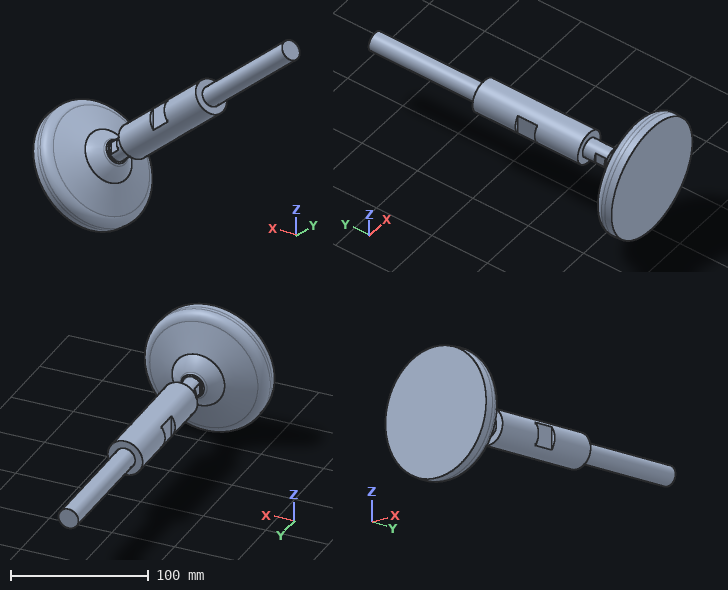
import cadquery as cq

TOTAL_LENGTH = 250.0

FOOT_RADIUS = 50.0
BASE_RADIUS = 49.5
RIM_START = 6.0
RIM_END = 9.0
SHOULDER_RADIUS = 43.2
SHOULDER_HEIGHT = 16.0
SHOULDER_MID_RADIUS = 48.2
SHOULDER_MID_HEIGHT = 13.0
DOME_RADIUS = 21.0
DOME_HEIGHT = 25.0
DOME_MID_RADIUS = 16.5
DOME_MID_HEIGHT = 30.0
DOME_END_RADIUS = 10.8
DOME_END_HEIGHT = 33.8
CROWN_RADIUS = 9.2
CROWN_HEIGHT = 35.0

ROD_RADIUS = 8.0
TIP_RADIUS = 7.0
TAPER_START = 35.5
ROD_FLAT_START = 37.0
ROD_FLAT_LENGTH = 9.0
ROD_ACROSS_FLATS = 13.0

SLEEVE_RADIUS = 14.0
SLEEVE_START = 56.8
SLEEVE_LENGTH = 95.0
SLEEVE_FLAT_LENGTH = 17.5
SLEEVE_FLAT_START = SLEEVE_START + (SLEEVE_LENGTH - SLEEVE_FLAT_LENGTH) / 2
SLEEVE_ACROSS_FLATS = 22.0


def cylinder(radius, start, length):
    """Solid cylinder along +Y, beginning at Y = start."""
    return cq.Workplane(cq.Solid.makeCylinder(radius, length, cq.Vector(0, start, 0), cq.Vector(0, 1, 0)))


def revolve_about_y(profile):
    """Full turn of a closed XY outline around the Y axis."""
    return profile.revolve(360, (0, 0, 0), (0, 1, 0))


def cut_wrench_flats(body, radius, across_flats, start, length):
    """Cut two opposite flats, facing -X and +X, into a round body."""
    flat_offset = across_flats / 2
    for side in (-1, 1):
        cutter = cq.Workplane().box(radius, length, 2 * radius)
        body = body.cut(cutter.translate((side * (flat_offset + radius / 2), start + length / 2, 0)))
    return body


def make_foot():
    profile = (
        cq.Workplane("XY")
        .lineTo(BASE_RADIUS, 0)
        .lineTo(FOOT_RADIUS, RIM_START)
        .lineTo(FOOT_RADIUS, RIM_END)
        .threePointArc((SHOULDER_MID_RADIUS, SHOULDER_MID_HEIGHT), (SHOULDER_RADIUS, SHOULDER_HEIGHT))
        .lineTo(DOME_RADIUS, DOME_HEIGHT)
        .threePointArc((DOME_MID_RADIUS, DOME_MID_HEIGHT), (DOME_END_RADIUS, DOME_END_HEIGHT))
        .lineTo(CROWN_RADIUS, CROWN_HEIGHT)
        .lineTo(0, CROWN_HEIGHT)
        .close()
    )
    return revolve_about_y(profile)


def make_rod():
    profile = (
        cq.Workplane("XY", origin=(0, CROWN_HEIGHT, 0))
        .lineTo(TIP_RADIUS, 0)
        .lineTo(ROD_RADIUS, TAPER_START - CROWN_HEIGHT)
        .lineTo(ROD_RADIUS, TOTAL_LENGTH - CROWN_HEIGHT)
        .lineTo(0, TOTAL_LENGTH - CROWN_HEIGHT)
        .close()
    )
    rod = revolve_about_y(profile)
    return cut_wrench_flats(rod, ROD_RADIUS, ROD_ACROSS_FLATS, ROD_FLAT_START, ROD_FLAT_LENGTH)


def make_sleeve():
    tube = cylinder(SLEEVE_RADIUS, SLEEVE_START, SLEEVE_LENGTH)
    tube = tube.cut(cylinder(ROD_RADIUS, SLEEVE_START, SLEEVE_LENGTH))
    return cut_wrench_flats(tube, SLEEVE_RADIUS, SLEEVE_ACROSS_FLATS, SLEEVE_FLAT_START, SLEEVE_FLAT_LENGTH)


foot = make_foot()
rod = make_rod()
sleeve = make_sleeve()

result = cq.Compound.makeCompound([foot.val(), rod.val(), sleeve.val()])